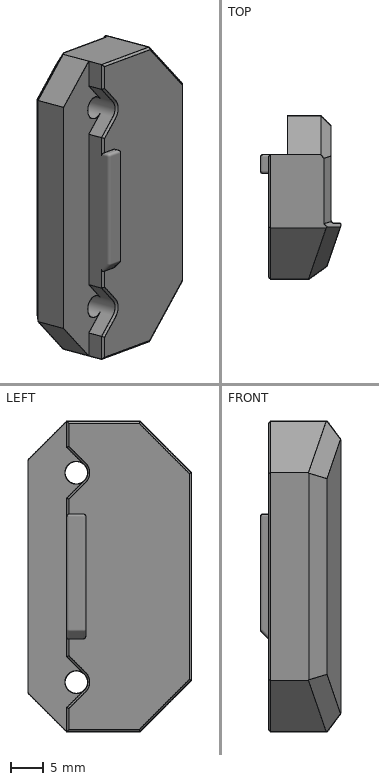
import cadquery as cq
import math

height = 48.0
depth = 25.3
half_height = height / 2

front_corner = 7.95
step_y = 19.3
rear_corner = depth - step_y

step_x = 2.95
rear_face_x = 9.7
rear_chamfer = 1.6
rear_bevel_x = 1.15
rear_bevel_z = 2.0
back_chamfer = 0.35

nose_x = 8.35
nose_slope = math.tan(math.radians(19))
nose_bevel = 2.1
lip_y = 8.7
lip_ridge_y = 8.1
lip_radius = 0.3
lip_foot_radius = 0.45

hole_diameter = 3.45
hole_y = 17.8
hole_centers = [(hole_y, 16.05), (hole_y, -16.3)]

tab_width = 3.0
tab_half_length = 9.65
tab_height = 1.25
tab_radius = 0.45

reach = 2 * height
flat_tolerance = 0.01


def prism_x(points, x_start, x_end):
    """Extrude a YZ polygon along X."""
    return cq.Workplane("YZ").workplane(offset=x_start).polyline(points).close().extrude(x_end - x_start)


def outline_prism(x_end):
    """The full octagonal outline, from the back face to x_end."""
    half = [
        (0, half_height - front_corner),
        (front_corner, half_height),
        (step_y, half_height),
        (depth, half_height - rear_corner),
    ]
    mirrored = [(y, -z) for y, z in reversed(half)]
    return prism_x(half + mirrored, 0, x_end)


def half_space(origin, normal):
    """Everything on the side of a plane that its normal points to."""
    plane = cq.Plane(origin=origin.toTuple(), normal=normal.toTuple())
    return cq.Workplane(plane).rect(reach, reach).extrude(reach)


def make_rear():
    """Block behind the lip, chamfered at the back and bevelled at both ends."""
    block = outline_prism(rear_face_x)
    behind_step = cq.selectors.BoxSelector(
        (rear_face_x / 2, step_y, -height),
        (reach, reach, height),
    )
    block = block.faces(">X").edges(behind_step).chamfer(rear_chamfer)
    bevel_start_x = rear_face_x - rear_bevel_x
    bevel_end_z = half_height - rear_bevel_z
    section = (
        cq.Workplane("XZ", origin=(0, front_corner, 0))
        .polyline([
            (0, half_height),
            (bevel_start_x, half_height),
            (rear_face_x, bevel_end_z),
            (rear_face_x, -bevel_end_z),
            (bevel_start_x, -half_height),
            (0, -half_height),
        ])
        .close()
        .extrude(-(depth - front_corner))
    )
    return block.intersect(section)


def lip_profile():
    """XY section of the nose: sloping face, rounded lip and concave foot."""
    lip_x = nose_x + nose_slope * lip_y
    foot_y = lip_y + lip_foot_radius
    foot_x = rear_face_x + lip_foot_radius
    foot_middle = lip_foot_radius * (1 - math.sqrt(0.5))
    profile = (
        cq.Workplane("XY", origin=(0, 0, -half_height))
        .moveTo(0, 0)
        .lineTo(nose_x, 0)
        .lineTo(lip_x, lip_y)
        .lineTo(foot_x, lip_y)
        .threePointArc((rear_face_x + foot_middle, lip_y + foot_middle), (rear_face_x, foot_y))
        .lineTo(0, foot_y)
        .close()
        .extrude(height)
    )
    return profile.edges("|Z and >X").fillet(lip_radius)


def make_nose():
    """Front block with a bevelled sloping face that ends in the lip."""
    end_y = lip_y + 2 * lip_foot_radius
    front_z = half_height - front_corner
    end_z = front_z + end_y
    block = prism_x([(0, front_z), (end_y, end_z), (end_y, -end_z), (0, -front_z)], 0, 2 * nose_x)
    slope_normal = cq.Vector(1, -nose_slope, 0)
    block = block.cut(half_space(cq.Vector(nose_x, 0, 0), slope_normal))
    slope = block.faces(cq.selectors.DirectionNthSelector(slope_normal, -1))
    block = slope.edges("not(>Y)").chamfer(nose_bevel)
    nose = block.intersect(lip_profile())

    for face in block.faces().vals():
        normal = face.normalAt()
        center = face.Center()
        is_diagonal_bevel = normal.x > flat_tolerance and abs(normal.z) > flat_tolerance
        if is_diagonal_bevel:
            facet_origin = cq.Vector(center.x, 2 * lip_ridge_y - center.y, center.z)
            facet_normal = cq.Vector(normal.x, -normal.y, normal.z)
            nose = nose.cut(half_space(facet_origin, facet_normal))
    return nose


def notch_cutter(y, z):
    """Notch that wraps a hole and opens at 45 degrees toward the rear."""
    radius = hole_diameter / 2
    tangent = radius * math.sqrt(0.5)
    half_mouth = tangent + (step_y - (y - tangent))
    return (
        cq.Workplane("YZ")
        .moveTo(step_y, z + half_mouth)
        .lineTo(y - tangent, z + tangent)
        .threePointArc((y - radius, z), (y - tangent, z - tangent))
        .lineTo(step_y, z - half_mouth)
        .close()
        .extrude(step_x)
    )


def cut_step(body):
    """Remove the rear step and the notches down to the flange."""
    cutter = prism_x(
        [(step_y, half_height), (depth, half_height), (depth, -half_height), (step_y, -half_height)],
        0,
        step_x,
    )
    for y, z in hole_centers:
        cutter = cutter.union(notch_cutter(y, z))
    return body.cut(cutter)


def make_tab():
    """Rounded tab on the back face with a 45 degree ramp at its lower end."""
    root_x = back_chamfer
    tab = (
        cq.Workplane("XZ", origin=(0, step_y, 0))
        .polyline([
            (root_x, tab_half_length),
            (-tab_height, tab_half_length),
            (-tab_height, tab_height - tab_half_length),
            (root_x, -tab_half_length - root_x),
        ])
        .close()
        .extrude(tab_width)
    )
    return tab.edges("not(>X)").fillet(tab_radius)


body = make_rear().union(make_nose())
body = cut_step(body)
body = body.faces("<X").edges().chamfer(back_chamfer)
body = body.union(make_tab())
holes = (
    cq.Workplane("YZ")
    .pushPoints(hole_centers)
    .circle(hole_diameter / 2)
    .extrude(reach)
)
result = body.cut(holes)